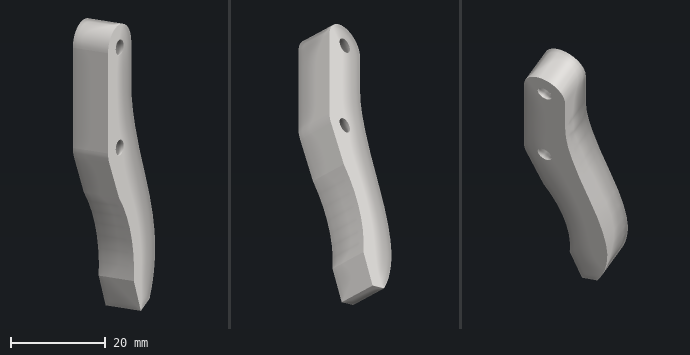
import cadquery as cq
import math

thickness = 8.5
overall_height = 65.3
end_radius = 5.0
hole_diameter = 3.4
hole_spacing = 22.0

inner_edge_angle = math.radians(25.7)
inner_edge_length = 9.7

concave_middle = (4.7, -41.8)
heel = (6.15, -52.95)

tip = (9.15, end_radius - overall_height)
tip_outer_corner = (12.9, -58.6)

back_end = (end_radius, -9.15)
outer_edge = [
    (6.35, -17.7),
    (9.35, -26.6),
    (12.75, -35.2),
    (14.9, -43.1),
    (15.35, -48.6),
    (14.55, -54.15),
    tip_outer_corner,
]
downward = (0, -1)
curl_direction = (-0.4, -0.9)


def around_lower_hole(angle):
    """Point of the rounding about the lower hole, at an angle below the -Y direction."""
    return (-end_radius * math.cos(angle), -hole_spacing - end_radius * math.sin(angle))


def lever_body():
    edge_start = around_lower_hole(inner_edge_angle)
    edge_end = (
        edge_start[0] + inner_edge_length * math.sin(inner_edge_angle),
        edge_start[1] - inner_edge_length * math.cos(inner_edge_angle),
    )
    return (
        cq.Workplane("YZ")
        .moveTo(-end_radius, 0)
        .threePointArc((0, end_radius), (end_radius, 0))
        .lineTo(*back_end)
        .spline(outer_edge, tangents=[downward, curl_direction], includeCurrent=True)
        .lineTo(*tip)
        .lineTo(*heel)
        .threePointArc(concave_middle, edge_end)
        .lineTo(*edge_start)
        .threePointArc(around_lower_hole(inner_edge_angle / 2), around_lower_hole(0))
        .close()
        .extrude(thickness)
    )


def pivot_holes():
    return (
        cq.Workplane("YZ")
        .pushPoints([(0, 0), (0, -hole_spacing)])
        .circle(hole_diameter / 2)
        .extrude(thickness)
    )


result = lever_body().cut(pivot_holes())